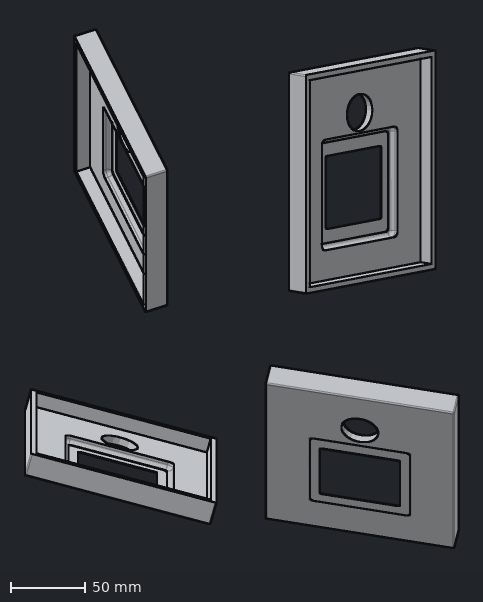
import cadquery as cq

width = 130.0
depth = 16.0
height = 150.0
wall = 4.0
panel_thickness = 6.0
edge_radius = 1.0

hole_diameter = 25.2
hole_z = 39.6

pocket_size = 75.9
opening_z = -12.5
pocket_floor_thickness = 0.8
pocket_radius = 3.9
pocket_foot_radius = 3.0

recess_size = 69.0
recess_depth = 0.25
recess_radius = 3.0

window_width = 55.2
window_height = 50.0
window_radius = 1.5

back_y = depth / 2
panel_front_y = back_y - panel_thickness
pocket_floor_y = back_y - pocket_floor_thickness


def upright_block(size_x, size_z, start_y, end_y, center_z, corner_radius=0.0):
    """Block from start_y to end_y, with its corners along Y rounded."""
    block = cq.Workplane("XY").box(size_x, end_y - start_y, size_z)
    if corner_radius > 0:
        block = block.edges("|Y").fillet(corner_radius)
    return block.translate((0, (start_y + end_y) / 2, center_z))


tray = upright_block(width, height, -back_y, back_y, 0, edge_radius)
tray = tray.faces(">Y").edges().fillet(edge_radius)
cavity = upright_block(width - 2 * wall, height - 2 * wall, -back_y, panel_front_y, 0)

hole = (
    cq.Workplane("XZ", origin=(0, back_y, hole_z))
    .circle(hole_diameter / 2)
    .extrude(depth)
)

pocket = upright_block(
    pocket_size, pocket_size, panel_front_y, pocket_floor_y, opening_z, pocket_radius
)
pocket = pocket.faces(">Y").edges().fillet(pocket_foot_radius)

recess = upright_block(
    recess_size, recess_size, panel_front_y, pocket_floor_y + recess_depth, opening_z, recess_radius
)
window = upright_block(window_width, window_height, panel_front_y, back_y, opening_z, window_radius)

result = tray.cut(cavity).cut(hole).cut(pocket).cut(recess).cut(window)